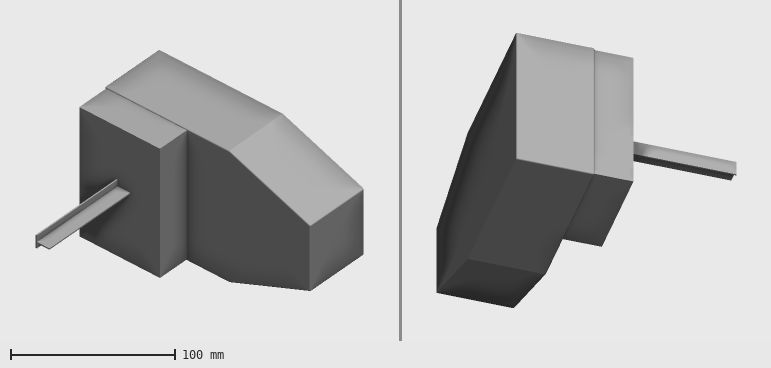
import cadquery as cq

housing_length = 165.4
housing_height = 100.0
housing_depth = 50.0
straight_length = 100.0
nose_height = 50.0
edge_radius = 1.0

block_length = 65.0
block_depth = 25.0
block_height = housing_height - 2 * edge_radius

bar_left = 31.0
bar_width = 11.0
bar_height = 10.0
bar_thickness = 1.0
bar_centre_height = 4.0
web_drop = 0.5
overall_depth = 150.0
bar_length = overall_depth - housing_depth - block_depth

housing_front = -housing_depth
block_front = housing_front - block_depth


def box_toward_front(left, back, length, depth, height):
    """Box centred on Z = 0, running from its back face toward -Y."""
    return (
        cq.Workplane("XY")
        .box(length, depth, height, centered=(False, False, True))
        .translate((left, back - depth, 0))
    )


def make_housing():
    """Rounded, tapered housing with its front block."""
    rounded_edges = "not(>Y and (not |Z))"
    half_height = housing_height / 2
    half_nose = nose_height / 2
    shell = (
        cq.Workplane("XZ")
        .moveTo(0, -half_height)
        .lineTo(straight_length, -half_height)
        .lineTo(housing_length, -half_nose)
        .lineTo(housing_length, half_nose)
        .lineTo(straight_length, half_height)
        .lineTo(0, half_height)
        .close()
        .extrude(housing_depth)
        .edges(rounded_edges)
        .fillet(edge_radius)
    )
    block = box_toward_front(edge_radius, housing_front, block_length, block_depth, block_height)
    return shell.union(block)


def make_bar():
    """T-section bar: an upright flange with a web pointing toward +X."""
    flange = box_toward_front(bar_left, block_front, bar_thickness, bar_length, bar_height)
    web = box_toward_front(bar_left, block_front, bar_width, bar_length, bar_thickness)
    bar_shape = flange.union(web.translate((0, 0, -web_drop)))
    return bar_shape.translate((0, 0, bar_centre_height))


housing = make_housing()
bar = make_bar()

result = cq.Compound.makeCompound([housing.val(), bar.val()])